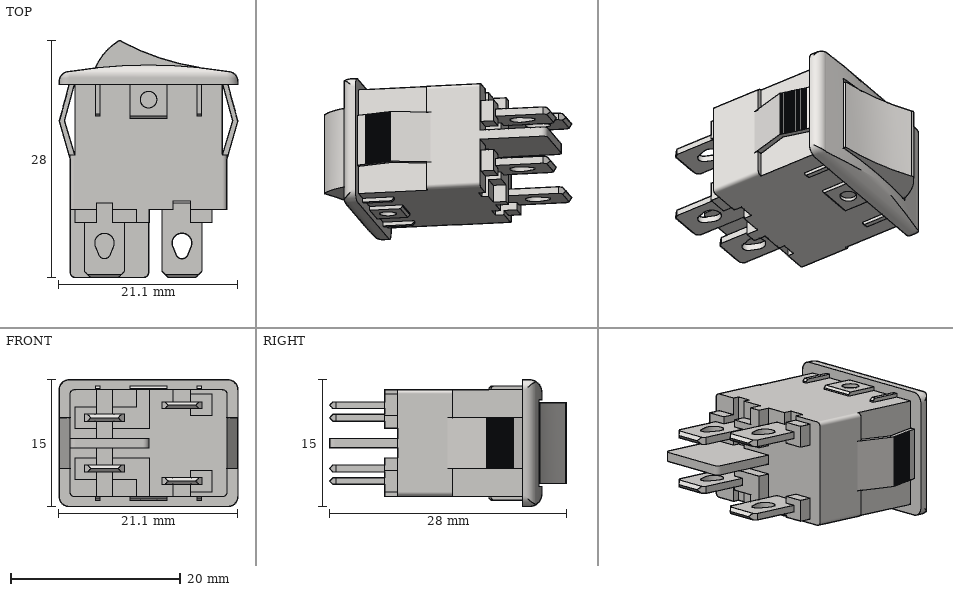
import cadquery as cq
import math


TOTAL_LENGTH = 28.0

BEZEL_X = 21.13
BEZEL_Z = 15.0
BEZEL_CORNER_R = 1.2
BEZEL_CROWN_Y = 2.32
BEZEL_SHOULDER_Y = 1.57
BEZEL_END_R = 1.2
BEZEL_FRONT_R = 1.5
WINDOW_X = 12.65
WINDOW_Z = 10.2

BODY_Z = 12.62
FRONT_X = 17.4
REAR_X = 18.53
REAR_START_Y = -8.29
REAR_END_Y = -14.75
REAR_EDGE_R = 0.5

PAD_HEIGHT = 0.45
PAD_CHAMFER = 0.28
RIB_WIDTH = 0.55
RIB_LENGTH = 3.72
RIB_OFFSET_X = 6.0
PLATE_WIDTH = 4.37
PLATE_LENGTH = 3.97
DIMPLE_R = 0.98
DIMPLE_Y = -1.75

SPRING_Z = 6.05
SPRING_ROOT_X = 9.4
SPRING_BEND_Y = -4.25
SPRING_END_Y = -8.82
SPRING_WALL = 0.65
TEETH_START_Y = -1.05
TEETH_COUNT = 16
TOOTH_DEPTH = 0.05

BOSS_END_Y = -16.3
LEFT_BOSS_X = (-8.7, 0.1)
LEFT_BOSS_Z = (1.74, 4.28)
LEFT_BOSS_ARM_X = -1.4
RIGHT_BOSS_X = (4.95, 7.5)
RIGHT_BOSS_Z = (3.25, 5.8)

LEFT_SLOT_X = (-6.15, -4.28)
LEFT_SLOT_FLOOR_Y = -13.97
RIGHT_SLOT_X = (2.9, 4.95)
RIGHT_SLOT_FLOOR_Y = -13.72

TIP_Y = -22.78
TERMINAL_WIDTH = 4.75
TERMINAL_CORNER = 0.75
TIP_BEVEL_LENGTH = 0.4
ROOT_BEVEL_LENGTH = RIGHT_SLOT_FLOOR_Y - LEFT_SLOT_FLOOR_Y
LEFT_TERMINAL_X = -5.2
LEFT_TERMINAL_Z = 3.0
LEFT_TERMINAL_THICKNESS = 0.87
RIGHT_TERMINAL_X = 3.95
RIGHT_TERMINAL_Z = 4.48
RIGHT_TERMINAL_THICKNESS = 0.8
EYE_Y = -18.7
EYE_R = 1.15
EYE_TAIL_R = 0.73
EYE_TAIL_OFFSET = 1.12

BLADE_END_X = 0.03
BLADE_THICKNESS = 1.12
BLADE_CORNER_R = 0.65

ROCKER_Z = 9.57
ROCKER_LEFT_X = -6.27
ROCKER_RIGHT_X = 6.02
ROCKER_RIM_Y = 2.05
ROCKER_TOP_Y = TOTAL_LENGTH + TIP_Y
ROCKER_RIDGE_X = -3.41
ROCKER_RIDGE_WIDTH = 0.5
ROCKER_RIDGE_DROP = 0.1
ROCKER_LEFT_MID = (-4.98, 4.0)
ROCKER_RIGHT_MID = (1.18, 3.22)

MIRROR_SIGNS = (1, -1)


def box(x_range, y_range, z_range):
    """Axis-aligned box between pairs of limits given in any order."""
    spans = [(min(pair), max(pair)) for pair in (x_range, y_range, z_range)]
    sizes = [high - low for low, high in spans]
    corner = tuple(low for low, high in spans)
    return cq.Workplane("XY").box(*sizes, centered=False).translate(corner)


def side_pair(upper):
    """A shape together with its mirror image on the other side of Z = 0."""
    return upper.union(upper.mirror("XY"))


def prism_z(sketch, depth):
    """Extrude an XY outline symmetrically about Z = 0."""
    return sketch.close().extrude(depth / 2, both=True)


def make_bezel():
    half_x = BEZEL_X / 2
    half_z = BEZEL_Z / 2
    diagonal = math.sqrt(0.5)

    shoulder_x = half_x - BEZEL_END_R
    end_centre_y = BEZEL_SHOULDER_Y - BEZEL_END_R
    end_mid_x = shoulder_x + BEZEL_END_R * diagonal
    end_mid_y = end_centre_y + BEZEL_END_R * diagonal
    crowned = prism_z(
        cq.Workplane("XY")
        .moveTo(-half_x, 0)
        .lineTo(half_x, 0)
        .lineTo(half_x, end_centre_y)
        .threePointArc((end_mid_x, end_mid_y), (shoulder_x, BEZEL_SHOULDER_Y))
        .threePointArc((0, BEZEL_CROWN_Y), (-shoulder_x, BEZEL_SHOULDER_Y))
        .threePointArc((-end_mid_x, end_mid_y), (-half_x, end_centre_y)),
        BEZEL_Z,
    )

    rounded = (
        box((-half_x, half_x), (0, BEZEL_CROWN_Y), (-half_z, half_z))
        .edges("|Y").fillet(BEZEL_CORNER_R)
        .faces(">Y").edges().fillet(BEZEL_FRONT_R)
    )
    window = box((-WINDOW_X / 2, WINDOW_X / 2), (0, BEZEL_CROWN_Y), (-WINDOW_Z / 2, WINDOW_Z / 2))
    return crowned.intersect(rounded).cut(window)


def make_block():
    half_z = BODY_Z / 2
    front = box((-FRONT_X / 2, FRONT_X / 2), (0, REAR_END_Y), (-half_z, half_z))
    rear = (
        box((-REAR_X / 2, REAR_X / 2), (REAR_START_Y, REAR_END_Y), (-half_z, half_z))
        .edges("|Y").fillet(REAR_EDGE_R)
    )
    return front.union(rear)


def make_pad(centre_x, width, length):
    """Raised pad on the upper side with a bevelled rear end."""
    base_z = BODY_Z / 2
    return (
        box((centre_x - width / 2, centre_x + width / 2), (0, -length), (base_z, base_z + PAD_HEIGHT))
        .edges("<Y and >Z").chamfer(PAD_CHAMFER)
    )


def make_plate():
    dimple = (
        cq.Workplane("XY", origin=(0, DIMPLE_Y, BODY_Z / 2))
        .circle(DIMPLE_R)
        .extrude(PAD_HEIGHT)
    )
    return make_pad(0, PLATE_WIDTH, PLATE_LENGTH).cut(dimple)


def make_spring():
    """Bent leaf on the -X side, with fine teeth on the outside of its front leg."""
    bend_x = BEZEL_X / 2
    slope = (bend_x - SPRING_ROOT_X) / SPRING_BEND_Y
    step = (SPRING_BEND_Y - TEETH_START_Y) / TEETH_COUNT

    def leg_x(y):
        return -SPRING_ROOT_X - slope * y

    outline = [(-SPRING_ROOT_X, 0), (leg_x(TEETH_START_Y), TEETH_START_Y)]
    for tooth in range(TEETH_COUNT):
        peak_y = TEETH_START_Y + (tooth + 1) * step
        root_y = peak_y - step / 2
        outline.append((leg_x(root_y) + TOOTH_DEPTH, root_y))
        outline.append((leg_x(peak_y), peak_y))
    outline += [
        (-REAR_X / 2, SPRING_END_Y),
        (-FRONT_X / 2, SPRING_END_Y),
        (-FRONT_X / 2, REAR_START_Y),
        (-bend_x + SPRING_WALL, SPRING_BEND_Y),
        (-SPRING_ROOT_X + SPRING_WALL, 0),
    ]
    return prism_z(cq.Workplane("XY").polyline(outline), SPRING_Z)


def make_left_boss():
    end_x = LEFT_BOSS_X[1]
    boss = box(LEFT_BOSS_X, (REAR_END_Y, BOSS_END_Y), LEFT_BOSS_Z)
    arm = box((LEFT_BOSS_ARM_X, end_x), (REAR_END_Y, BOSS_END_Y), (LEFT_BOSS_Z[0], BODY_Z / 2))
    return boss.union(arm)


def make_right_boss():
    return box(RIGHT_BOSS_X, (REAR_END_Y, BOSS_END_Y), RIGHT_BOSS_Z)


def make_left_slot():
    return box(LEFT_SLOT_X, (LEFT_SLOT_FLOOR_Y, BOSS_END_Y), (0, BODY_Z / 2))


def make_right_slot():
    return box(RIGHT_SLOT_X, (RIGHT_SLOT_FLOOR_Y, BOSS_END_Y), (RIGHT_TERMINAL_Z, BODY_Z / 2))


def make_eye(thickness):
    """Teardrop hole: a large and a small circle joined by their common tangents."""
    tilt = math.asin((EYE_R - EYE_TAIL_R) / EYE_TAIL_OFFSET)
    across = math.cos(tilt)
    along = -math.sin(tilt)
    tail_y = -EYE_TAIL_OFFSET
    tail_tangent_y = tail_y + EYE_TAIL_R * along
    return (
        cq.Workplane("XY")
        .moveTo(-EYE_R * across, EYE_R * along)
        .threePointArc((0, EYE_R), (EYE_R * across, EYE_R * along))
        .lineTo(EYE_TAIL_R * across, tail_tangent_y)
        .threePointArc((0, tail_y - EYE_TAIL_R), (-EYE_TAIL_R * across, tail_tangent_y))
        .close()
        .extrude(thickness, both=True)
    )


def make_terminal(centre_x, centre_z, thickness):
    """Flat tab with cut corners, a knife-edged tip, a bevelled root and a teardrop eye."""
    half_t = thickness / 2
    half_w = TERMINAL_WIDTH / 2
    root_y = RIGHT_SLOT_FLOOR_Y
    outline = (
        cq.Workplane("XY")
        .moveTo(-half_w, root_y)
        .lineTo(half_w, root_y)
        .lineTo(half_w, TIP_Y + TERMINAL_CORNER)
        .lineTo(half_w - TERMINAL_CORNER, TIP_Y)
        .lineTo(-half_w + TERMINAL_CORNER, TIP_Y)
        .lineTo(-half_w, TIP_Y + TERMINAL_CORNER)
        .close()
        .extrude(half_t, both=True)
    )
    edge_profile = (
        cq.Workplane("YZ")
        .polyline([
            (root_y, 0),
            (root_y - ROOT_BEVEL_LENGTH, half_t),
            (TIP_Y + TIP_BEVEL_LENGTH, half_t),
            (TIP_Y, 0),
            (TIP_Y + TIP_BEVEL_LENGTH, -half_t),
            (root_y - ROOT_BEVEL_LENGTH, -half_t),
        ])
        .close()
        .extrude(half_w, both=True)
    )
    eye = make_eye(thickness).translate((0, EYE_Y, 0))
    return outline.intersect(edge_profile).cut(eye).translate((centre_x, 0, centre_z))


def make_blade():
    half_t = BLADE_THICKNESS / 2
    return (
        box((-REAR_X / 2, BLADE_END_X), (LEFT_SLOT_FLOOR_Y, TIP_Y), (-half_t, half_t))
        .edges("|Z and <Y").fillet(BLADE_CORNER_R)
    )


def make_housing():
    body = make_bezel().union(make_block())
    body = body.union(side_pair(make_plate()))
    for sign in MIRROR_SIGNS:
        body = body.union(side_pair(make_pad(sign * RIB_OFFSET_X, RIB_WIDTH, RIB_LENGTH)))
    spring = make_spring()
    body = body.union(spring).union(spring.mirror("YZ"))

    body = body.union(side_pair(make_left_boss())).union(side_pair(make_right_boss()))
    body = body.cut(side_pair(make_left_slot())).cut(side_pair(make_right_slot()))

    left = make_terminal(LEFT_TERMINAL_X, LEFT_TERMINAL_Z, LEFT_TERMINAL_THICKNESS)
    right = make_terminal(RIGHT_TERMINAL_X, RIGHT_TERMINAL_Z, RIGHT_TERMINAL_THICKNESS)
    body = body.union(side_pair(left)).union(side_pair(right))
    return body.union(make_blade())


def make_rocker():
    """Rocker tipped to the left: a bulging left face and a hollow right face meet at a blunt ridge."""
    ridge_left_x = ROCKER_RIDGE_X - ROCKER_RIDGE_WIDTH / 2
    ridge_right_x = ROCKER_RIDGE_X + ROCKER_RIDGE_WIDTH / 2
    ridge_side_y = ROCKER_TOP_Y - ROCKER_RIDGE_DROP
    return prism_z(
        cq.Workplane("XY")
        .moveTo(ROCKER_LEFT_X, 0)
        .lineTo(ROCKER_LEFT_X, ROCKER_RIM_Y)
        .threePointArc(ROCKER_LEFT_MID, (ridge_left_x, ridge_side_y))
        .threePointArc((ROCKER_RIDGE_X, ROCKER_TOP_Y), (ridge_right_x, ridge_side_y))
        .threePointArc(ROCKER_RIGHT_MID, (ROCKER_RIGHT_X, ROCKER_RIM_Y))
        .lineTo(ROCKER_RIGHT_X, 0),
        ROCKER_Z,
    )


housing = make_housing()
rocker = make_rocker()
result = cq.Compound.makeCompound([housing.solids().val(), rocker.solids().val()])